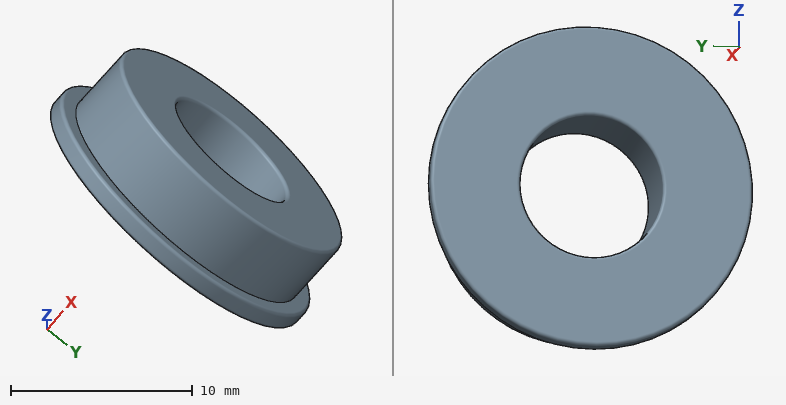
import cadquery as cq

flange_diameter = 18.0
body_diameter = 16.0
bore_diameter = 8.0
total_width = 5.0
flange_width = 1.1
edge_radius = 0.2


def disc(diameter, width):
    """Solid disc starting at X = 0 and extending toward +X."""
    return cq.Workplane("YZ").circle(diameter / 2).extrude(width)


flange = disc(flange_diameter, flange_width).edges("%CIRCLE").fillet(edge_radius)

body = disc(body_diameter, total_width).edges(">X").fillet(edge_radius)

ring = flange.union(body).cut(disc(bore_diameter, total_width))
bore_mouths = cq.selectors.RadiusNthSelector(1)
result = ring.edges("%CIRCLE").edges(bore_mouths).fillet(edge_radius)